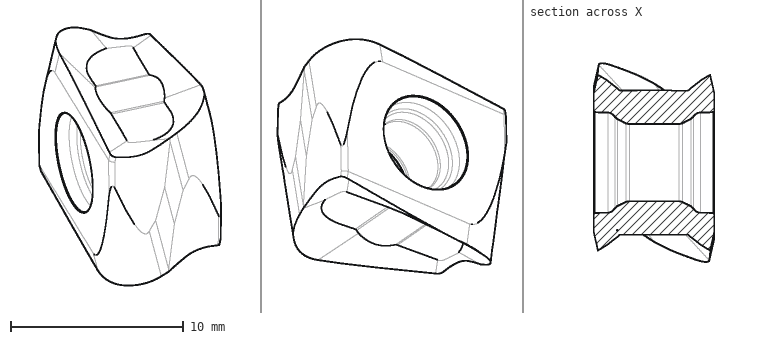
import cadquery as cq
import math

DEPTH = 7.0
HALF_DEPTH = DEPTH / 2
HALF_LENGTH = 6.24
REACH = 9.98

LEAN = math.tan(math.radians(12.8))

CREST_HALF_WIDTH = 1.05
CREST_DROP = 0.02
FLAT_HALF_WIDTH = 1.58
FLAT_DROP = 0.06
CORNER_MID = (-5.27, -3.6)
FRONT_START = (-3.06, -4.5)
FRONT_SLOPE = 0.024

FACET_OFFSET = 6.31
FACET_Y_SLOPE = 0.14
FACET_Z_SLOPE = 0.024
FACET_BLEND = 0.31
FACET_CORNER_MIN_X = 5.62
FACET_CORNER_MIN_Y = 2.5

MOUTH_RADIUS = 2.98
MOUTH_CHAMFER = 0.05
COUNTERBORE_RADIUS = 2.91
COUNTERBORE_DEPTH = 0.82
SEAT_TOP = (2.67, 1.21)
SEAT_MID = (2.83, 1.05)
SEAT_STEP = (2.52, 1.37)
SEAT_FOOT = (2.27, 1.87)
BORE_RADIUS = 2.23
BORE_DEPTH = 2.06

FLOOR_Z = 3.93
RIDGE_RADIUS = 4.2
RIDGE_BLEND = 0.37
WALL_OVERRUN = 1.3
FRONT_RULINGS = [
    ((5.37, -3.42, 3.97), (4.53, -1.97)),
    ((0.0, -3.28, 5.13), (1.37, -1.77)),
    ((-3.06, -3.22, 5.69), (-1.12, -1.6)),
]
CORNER_RULINGS = [
    FRONT_RULINGS[-1],
    ((-4.24, -3.01, 5.82), (-2.0, -1.54)),
    ((-5.42, -2.25, 5.62), (-3.13, -1.45)),
    ((-6.02, -1.25, 5.22), (-4.29, -0.87)),
    ((-6.2, 0.0, 4.6), (-5.03, 0.5)),
]
SIDE_RULINGS = [
    CORNER_RULINGS[-1],
    ((-6.1, 0.79, 4.1), (-4.98, 1.0)),
    ((-5.99, 1.6, 3.76), (-4.88, 1.54)),
    ((-5.87, 2.5, 3.71), (-4.83, 1.76)),
    ((-5.74, 3.25, 3.85), (-4.73, 1.95)),
    ((-5.37, 3.42, 3.97), (-4.53, 1.97)),
]


def half_turn(shape, axis):
    """Turn a shape by 180 degrees about the given axis through the origin."""
    return shape.rotate((0, 0, 0), axis, 180)


def swept_flanks():
    """Both long sides and the -X end, swept along the leaning line; open towards +X."""
    far_y = FRONT_START[1] + FRONT_SLOPE * (REACH - FRONT_START[0])
    flat_x = -HALF_LENGTH + FLAT_DROP
    crest_x = -HALF_LENGTH + CREST_DROP
    outline = (
        cq.Workplane("XY", origin=(0, -LEAN * REACH, -REACH))
        .moveTo(REACH, far_y)
        .lineTo(*FRONT_START)
        .threePointArc(CORNER_MID, (flat_x, -FLAT_HALF_WIDTH))
        .lineTo(crest_x, -CREST_HALF_WIDTH)
        .lineTo(-HALF_LENGTH, 0)
        .lineTo(crest_x, CREST_HALF_WIDTH)
        .lineTo(flat_x, FLAT_HALF_WIDTH)
        .threePointArc((CORNER_MID[0], -CORNER_MID[1]), (FRONT_START[0], -FRONT_START[1]))
        .lineTo(REACH, -far_y)
        .close()
        .wires()
        .val()
    )
    sweep = cq.Vector(0, 2 * LEAN * REACH, 2 * REACH)
    return cq.Workplane(cq.Solid.extrudeLinear(outline, [], sweep))


def facet_side():
    """Half space behind the upper facet of the -X end, on the +Y side."""
    normal = cq.Vector(-1, FACET_Y_SLOPE, FACET_Z_SLOPE)
    plane = cq.Plane(origin=(-FACET_OFFSET, 0, 0), xDir=(0, 0, 1), normal=normal)
    return cq.Workplane(plane).rect(4 * REACH, 4 * REACH).extrude(-4 * REACH)


def is_facet_corner(edge):
    """True for the edges where an end facet meets a seat or a straight long side."""
    center = edge.Center()
    return abs(center.x) > FACET_CORNER_MIN_X and abs(center.y) > FACET_CORNER_MIN_Y


def body():
    """Flanks, seats and end facets, before the chip faces and the hole."""
    facet = facet_side()
    block = cq.Workplane().box(2 * REACH, DEPTH, 2 * REACH).intersect(facet)
    for axis in ((1, 0, 0), (0, 1, 0), (0, 0, 1)):
        block = block.intersect(half_turn(facet, axis))
    flanks = swept_flanks()
    block = block.intersect(flanks).intersect(half_turn(flanks, (0, 0, 1)))
    return block.edges("%LINE").filter(is_facet_corner).fillet(FACET_BLEND)


def ridged_floor():
    """Floor slab with the rounded ridge along Y, used to fill the bottom of the chip face."""
    half_width = math.sqrt(RIDGE_RADIUS**2 - FLOOR_Z**2)
    slab = cq.Workplane().box(3 * half_width, DEPTH, FLOOR_Z, centered=(True, True, False))
    ridge = (
        cq.Workplane("XZ")
        .moveTo(-half_width, 0)
        .lineTo(-half_width, FLOOR_Z)
        .threePointArc((0, RIDGE_RADIUS), (half_width, FLOOR_Z))
        .lineTo(half_width, 0)
        .close()
        .extrude(HALF_DEPTH, both=True)
    )
    filled = slab.union(ridge)
    for side in (-1, 1):
        corner = cq.selectors.NearestToPointSelector((side * half_width, 0, FLOOR_Z))
        filled = filled.edges("|Y").edges(corner).fillet(RIDGE_BLEND)
    return filled


def chip_cutter():
    """Bowl above the upper cutting edge: flat floor, ruled wall, straight skirt above it."""
    floor_edges, walls, skirts, top_edges = [], [], [], []
    for turn in (1, -1):
        for rulings in (FRONT_RULINGS, CORNER_RULINGS, SIDE_RULINGS):
            inner = [cq.Vector(turn * x, turn * y, FLOOR_Z) for _, (x, y) in rulings]
            rim = [cq.Vector(turn * x, turn * y, z) for (x, y, z), _ in rulings]
            outer = [a + (b - a) * WALL_OVERRUN for a, b in zip(inner, rim)]
            upper = [cq.Vector(p.x, p.y, REACH) for p in outer]
            steps = [float(i) for i in range(len(rulings))]
            floor_edge, outer_edge, top_edge = (
                cq.Edge.makeSpline(points, parameters=steps) for points in (inner, outer, upper)
            )
            floor_edges.append(floor_edge)
            top_edges.append(top_edge)
            walls.append(cq.Face.makeRuledSurface(floor_edge, outer_edge))
            skirts.append(cq.Face.makeRuledSurface(outer_edge, top_edge))
    caps = [cq.Face.makeFromWires(cq.Wire.assembleEdges(edges)) for edges in (floor_edges, top_edges)]
    shell = cq.Shell.makeShell(walls + skirts + caps)
    bowl = cq.Workplane(cq.Solid.makeSolid(shell).fix())
    return bowl.cut(ridged_floor())


def clamping_hole():
    """Stepped bore along Y, the same from both seats."""
    def at(radius, depth):
        return (radius, depth - HALF_DEPTH)

    half = (
        cq.Workplane("XY")
        .moveTo(0, -HALF_DEPTH)
        .lineTo(*at(MOUTH_RADIUS, 0))
        .lineTo(*at(MOUTH_RADIUS - MOUTH_CHAMFER, MOUTH_CHAMFER))
        .lineTo(*at(COUNTERBORE_RADIUS, COUNTERBORE_DEPTH))
        .threePointArc(at(*SEAT_MID), at(*SEAT_TOP))
        .lineTo(*at(*SEAT_STEP))
        .lineTo(*at(*SEAT_FOOT))
        .lineTo(*at(BORE_RADIUS, BORE_DEPTH))
        .lineTo(BORE_RADIUS, 0)
        .lineTo(0, 0)
        .close()
        .revolve(360, (0, 0), (0, 1))
    )
    return half.union(half.mirror("XZ"))


cutter = chip_cutter()
result = body().cut(cutter).cut(half_turn(cutter, (1, 0, 0))).cut(clamping_hole())